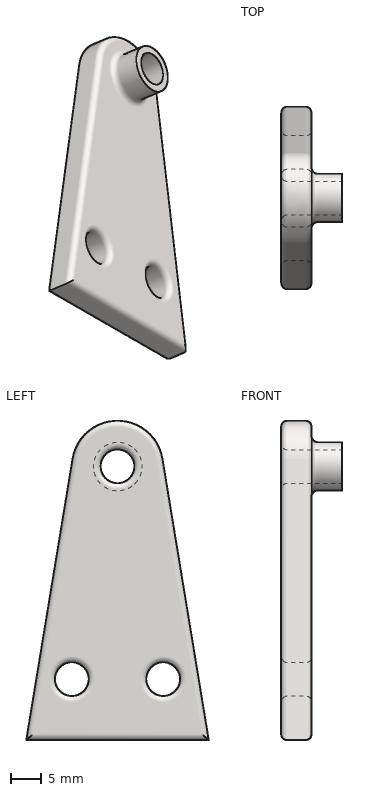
import cadquery as cq
import math

height = 52.45
base_width = 30.0
plate_thickness = 5.05
total_depth = 10.0
tip_radius = 7.5
edge_round = 1.0
hole_diameter = 5.5
boss_diameter = 8.0
lower_hole_height = 10.0
lower_hole_spacing = base_width / 2

half_base = base_width / 2
tip_center_z = height - tip_radius
corner_distance = math.hypot(half_base, tip_center_z)
tangent_angle = math.acos(tip_radius / corner_distance) - math.atan2(tip_center_z, half_base)
tangent_y = tip_radius * math.cos(tangent_angle)
tangent_z = tip_center_z + tip_radius * math.sin(tangent_angle)
hole_centers = [
    (0, tip_center_z),
    (-lower_hole_spacing / 2, lower_hole_height),
    (lower_hole_spacing / 2, lower_hole_height),
]

front_face = "<X"
rear_face = ">X[-2]"


def make_plate():
    """Tapered plate with a round tip and rounded rims on both faces."""
    outline = (
        cq.Workplane("YZ")
        .moveTo(-half_base, 0)
        .lineTo(half_base, 0)
        .lineTo(tangent_y, tangent_z)
        .threePointArc((0, height), (-tangent_y, tangent_z))
        .close()
    )
    return outline.extrude(plate_thickness).faces("<X or >X").edges().fillet(edge_round)


def round_smallest_circles(body, face_selector):
    """Round the smallest circular edges of one flat face lying square to X."""
    circles = body.faces("|X").faces(face_selector).edges("%CIRCLE")
    return circles.edges(cq.selectors.RadiusNthSelector(0)).fillet(edge_round)


def add_boss(plate):
    """Round boss behind the tip, with a fillet where it meets the plate."""
    boss = (
        cq.Workplane("YZ", origin=(plate_thickness / 2, 0, tip_center_z))
        .circle(boss_diameter / 2)
        .extrude(total_depth - plate_thickness / 2)
    )
    return round_smallest_circles(plate.union(boss), rear_face)


def cut_holes(body):
    """Through holes with rounded mouths on both plate faces; the boss end stays sharp."""
    drills = cq.Workplane("YZ").pushPoints(hole_centers).circle(hole_diameter / 2).extrude(total_depth)
    drilled = body.cut(drills)
    front_rounded = round_smallest_circles(drilled, front_face)
    return round_smallest_circles(front_rounded, rear_face)


result = cut_holes(add_boss(make_plate()))